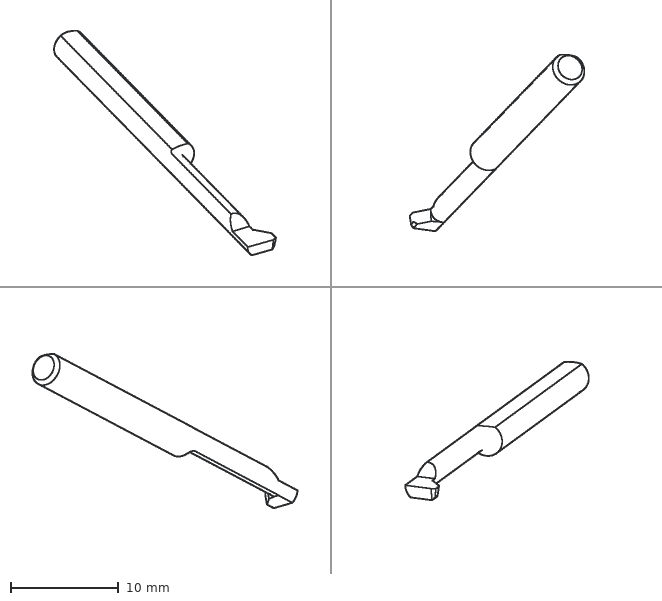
import cadquery as cq
import math

total_length = 38.1

shank_radius = 1.58
flat_height = 1.315
end_chamfer = 0.38
shoulder_x = 21.83

neck_radius = 1.15
neck_back_y = 0.21
neck_axis_y = neck_back_y - neck_radius
shoulder_fillet = 0.57

cutting_face_z = 0.05
cutting_face_start = 35.05
ramp_angle = 43.0
flank_start_x = 35.65
crest_start_x = 37.02
crest_y = 1.465
crest_radius = 0.38
tip_chamfer_x = 0.2
tip_chamfer_y = 0.38
end_setback = 0.08
relief_angle = 8.0
head_bottom_z = -neck_radius


def cylinder_along_x(radius, length):
    return cq.Workplane("YZ").circle(radius).extrude(length)


def make_shank():
    """Chamfered round bar with one flat on top."""
    bar = cylinder_along_x(shank_radius, shoulder_x).faces("<X").chamfer(end_chamfer)
    above_flat = cq.Workplane("XY").box(
        total_length, 2 * shank_radius, shank_radius, centered=(False, True, False)
    ).translate((0, 0, flat_height))
    return bar.cut(above_flat)


def make_neck():
    """Revolved bar flaring into the shoulder, trimmed to the shank surface and flat."""
    fillet_end_x = shoulder_x + shoulder_fillet
    flare_radius = neck_radius + shoulder_fillet
    arc_offset = shoulder_fillet * (1 - math.sqrt(0.5))
    outer_radius = 2 * shank_radius
    revolved = (
        cq.Workplane("XY", origin=(0, neck_axis_y, 0))
        .moveTo(shoulder_x - end_chamfer, 0)
        .lineTo(shoulder_x - end_chamfer, outer_radius)
        .lineTo(shoulder_x, outer_radius)
        .lineTo(shoulder_x, flare_radius)
        .threePointArc(
            (shoulder_x + arc_offset, neck_radius + arc_offset),
            (fillet_end_x, neck_radius),
        )
        .lineTo(crest_start_x, neck_radius)
        .lineTo(crest_start_x, 0)
        .close()
        .revolve(360, (0, 0, 0), (1, 0, 0))
    )
    envelope = cylinder_along_x(shank_radius, total_length)
    below_flat = cq.Workplane("XY").box(
        total_length, 2 * shank_radius, 2 * shank_radius, centered=(False, True, False)
    ).translate((0, 0, flat_height - 2 * shank_radius))
    return revolved.intersect(envelope).intersect(below_flat)


def cut_ramp(body):
    """Cut the neck down to the cutting face with a sloping run-in."""
    ramp_height = shank_radius - cutting_face_z
    ramp_run = ramp_height / math.tan(math.radians(ramp_angle))
    removed = (
        cq.Workplane("XZ")
        .moveTo(cutting_face_start - ramp_run, shank_radius)
        .lineTo(cutting_face_start, cutting_face_z)
        .lineTo(total_length, cutting_face_z)
        .lineTo(total_length, shank_radius)
        .close()
        .extrude(shank_radius, both=True)
    )
    return body.cut(removed)


def make_head():
    """Hooked cutting edge with relief below it, trimmed to the shank surface."""
    outside_y = -2 * shank_radius
    head = (
        cq.Workplane("XY", origin=(0, 0, cutting_face_z))
        .moveTo(flank_start_x, neck_back_y)
        .lineTo(crest_start_x, crest_y)
        .lineTo(total_length - tip_chamfer_x, crest_y)
        .lineTo(total_length, crest_y - tip_chamfer_y)
        .lineTo(total_length - end_setback, -shank_radius)
        .lineTo(total_length - end_setback, outside_y)
        .lineTo(cutting_face_start, outside_y)
        .close()
        .extrude(head_bottom_z - cutting_face_z, taper=relief_angle)
    )
    crest_corner = cq.selectors.NearestToPointSelector(
        (crest_start_x, crest_y, (cutting_face_z + head_bottom_z) / 2)
    )
    head = head.edges("not #Z").edges(crest_corner).fillet(crest_radius)
    return head.intersect(cylinder_along_x(shank_radius, total_length))


result = make_shank().union(cut_ramp(make_neck())).union(make_head()).clean()